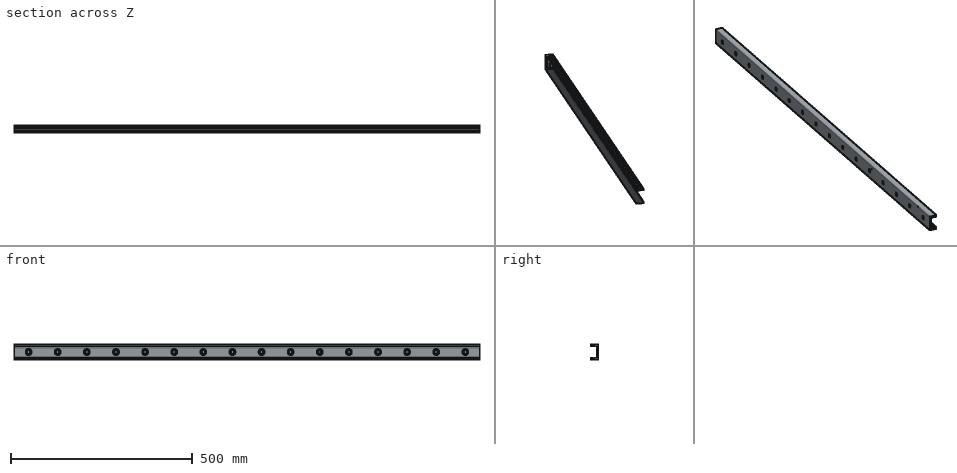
import cadquery as cq
import math

LENGTH = 1280.0
DEPTH = 21.0
HEIGHT = 43.0

WEB_THICKNESS = 4.5
WEB_EDGE = 9.93
LEDGE_THICKNESS = 6.25
LIP_THICKNESS = 5.75
LEDGE_ANGLE = 7.0

RACEWAY_START = 8.5
RACEWAY_THICKNESS = 4.4
RACEWAY_SLOPE = 19.5

OUTER_RADIUS = 1.0
LIP_RADIUS = 1.0

HOLE_PITCH = 80.0
HOLE_COUNT = int(LENGTH / HOLE_PITCH)
HOLE_DIAMETER = 8.5
SINK_DIAMETER = 17.0
SINK_ANGLE = 90.0

BACK = DEPTH / 2
FRONT = -DEPTH / 2
WEB_FACE = BACK - WEB_THICKNESS


def half_inside():
    """Inner outline of the upper flange, from the web to the front, as (Y, Z) points."""
    ledge_start = WEB_THICKNESS + (WEB_EDGE - LEDGE_THICKNESS) * math.tan(math.radians(LEDGE_ANGLE))
    run_per_rise = 1 / math.tan(math.radians(RACEWAY_SLOPE))
    raceway_bottom = RACEWAY_START + (LEDGE_THICKNESS - RACEWAY_THICKNESS) * run_per_rise
    raceway_end = raceway_bottom + (LIP_THICKNESS - RACEWAY_THICKNESS) * run_per_rise
    depth_and_thickness = [
        (WEB_THICKNESS, WEB_EDGE),
        (ledge_start, LEDGE_THICKNESS),
        (RACEWAY_START, LEDGE_THICKNESS),
        (raceway_bottom, RACEWAY_THICKNESS),
        (raceway_end, LIP_THICKNESS),
        (DEPTH, LIP_THICKNESS),
    ]
    return [(BACK - depth, HEIGHT / 2 - thickness) for depth, thickness in depth_and_thickness]


def channel():
    """Rounded block with the full-length opening cut from the front."""
    upper = half_inside()
    lower = [(y, -z) for y, z in reversed(upper)]
    opening = cq.Workplane("YZ", origin=(-LENGTH / 2, 0, 0)).polyline(lower + upper).close().extrude(LENGTH)
    block = cq.Workplane("XY").box(LENGTH, DEPTH, HEIGHT).edges("|X").fillet(OUTER_RADIUS)
    return block.cut(opening)


def round_lips(rail):
    """Round the inner front edge of both flanges."""
    lip_height = HEIGHT - 2 * LIP_THICKNESS
    margin = 0.1
    around_lips = cq.selectors.BoxSelector(
        (-LENGTH, FRONT - margin, -lip_height / 2 - margin),
        (LENGTH, FRONT + margin, lip_height / 2 + margin),
    )
    return rail.edges(around_lips).edges("|X").fillet(LIP_RADIUS)


def drill_holes(rail):
    return (
        rail.copyWorkplane(cq.Workplane("XZ", origin=(0, WEB_FACE, 0)))
        .rarray(HOLE_PITCH, 1, HOLE_COUNT, 1)
        .cskHole(HOLE_DIAMETER, SINK_DIAMETER, SINK_ANGLE)
    )


result = drill_holes(round_lips(channel()))